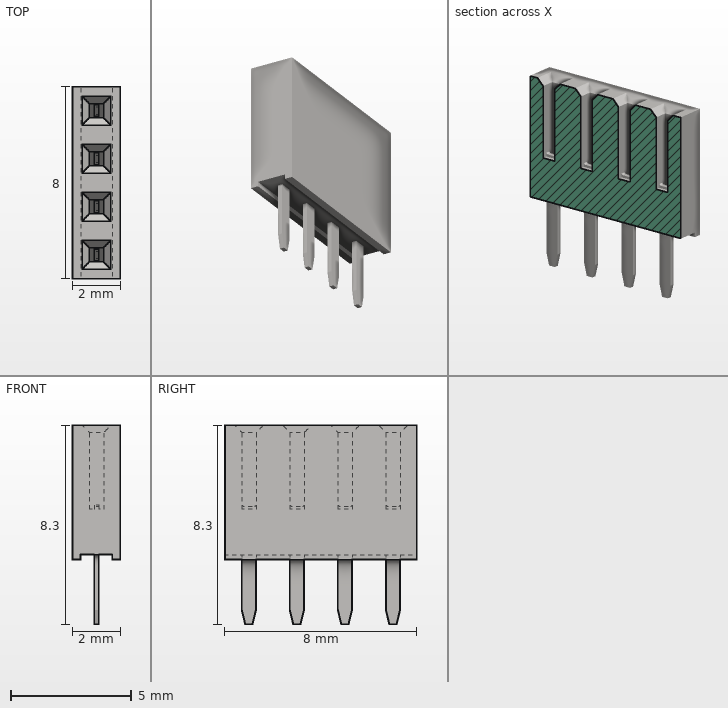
import cadquery as cq


total_height = 8.3
pitch = 2.0
position_count = 4
housing_height = 5.6

foot_width = 0.35
groove_height = 0.21

cavity_size = 0.6
mouth_size = 1.195
funnel_depth = (mouth_size - cavity_size) / 2
cavity_floor_depth = 3.49

blade_width = cavity_size
blade_thickness = 0.2
tip_width = 0.31
tip_length = 0.6
trough_depth = 0.06
blade_rise = 0.17

housing_width = pitch
housing_length = position_count * pitch
housing_base = total_height - housing_height
groove_width = housing_width - 2 * foot_width
cavity_floor = total_height - cavity_floor_depth
blade_top = cavity_floor + blade_rise
row_positions = [(i - (position_count - 1) / 2) * pitch for i in range(position_count)]


def make_housing():
    """Rectangular block with a groove along its underside, leaving two feet."""
    block = cq.Workplane("XY").workplane(offset=housing_base).rect(housing_width, housing_length)
    block = block.extrude(housing_height)
    groove = cq.Workplane("XY").workplane(offset=housing_base).rect(groove_width, housing_length)
    return block.cut(groove.extrude(groove_height))


def make_socket(y):
    """Square cavity with a 45 degree funnel at its mouth."""
    mouth = cq.Workplane("XY").workplane(offset=total_height).center(0, y)
    funnel = (
        mouth.rect(mouth_size, mouth_size)
        .workplane(offset=-funnel_depth)
        .rect(cavity_size, cavity_size)
        .loft()
    )
    cavity = mouth.rect(cavity_size, cavity_size).extrude(-cavity_floor_depth)
    return funnel.union(cavity)


def make_contact(y):
    """Blade from the solder tip up into the cavity; 45 degree slopes lead down to the trough."""
    half_blade = blade_width / 2
    half_tip = tip_width / 2
    half_trough = half_blade - trough_depth
    outline = [
        (y - half_tip, 0),
        (y + half_tip, 0),
        (y + half_blade, tip_length),
        (y + half_blade, blade_top),
        (y + half_trough, blade_top - trough_depth),
        (y - half_trough, blade_top - trough_depth),
        (y - half_blade, blade_top),
        (y - half_blade, tip_length),
    ]
    return cq.Workplane("YZ").polyline(outline).close().extrude(blade_thickness / 2, both=True)


result = make_housing()
for row_y in row_positions:
    result = result.cut(make_socket(row_y)).union(make_contact(row_y))